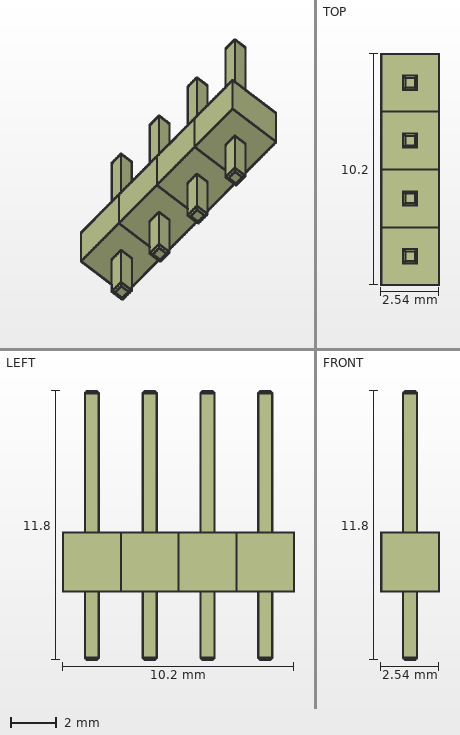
import cadquery as cq

overall_height = 11.8
position_count = 4
row_length = 10.16
pitch = row_length / position_count
pin_width = 0.63
pin_below_block = 3.0
block_height = 2.6
tip_inset = 0.1
tip_height = tip_inset


def make_block():
    """Square housing block standing on the XY plane."""
    return cq.Workplane("XY").box(pitch, pitch, block_height, centered=(True, True, False))


def make_tip(direction):
    """Tapered pin end, from the full pin section at Z = 0 to the tip face."""
    tip_width = pin_width - 2 * tip_inset
    return (
        cq.Workplane("XY")
        .rect(pin_width, pin_width)
        .workplane(offset=direction * tip_height)
        .rect(tip_width, tip_width)
        .loft()
    )


def make_pin():
    """Square pin with tapered ends, reaching below and above the block."""
    shaft_length = overall_height - 2 * tip_height
    shaft = cq.Workplane("XY").box(pin_width, pin_width, shaft_length, centered=(True, True, False))
    upper_tip = make_tip(1).translate((0, 0, shaft_length))
    pin = shaft.union(upper_tip).union(make_tip(-1))
    return pin.translate((0, 0, tip_height - pin_below_block))


def make_position(y):
    """One header position: block and pin as a single solid, centred at the given Y."""
    return make_block().union(make_pin()).translate((0, y, 0))


first_y = -(position_count - 1) * pitch / 2
positions = [make_position(first_y + i * pitch) for i in range(position_count)]

result = cq.Compound.makeCompound([position.val() for position in positions])